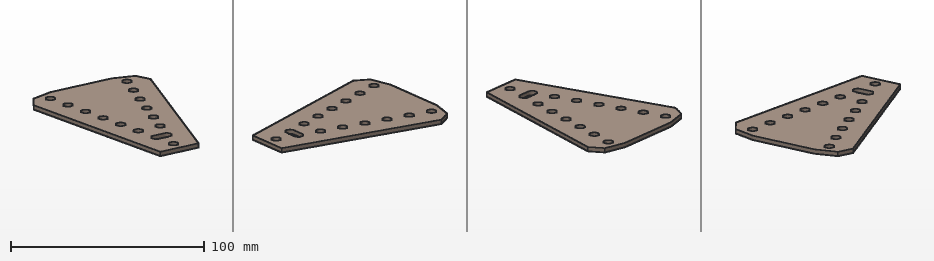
import cadquery as cq
import math

thickness = 2.5
pitch = 12.7
hole_diameter = 5.0
row_angle = 30.0
holes_per_row = 6
end_margin = 6.096
side_margin = pitch
half_flat = pitch / 2
corner_cut = side_margin - half_flat

half_angle = math.radians(row_angle / 2)
row_length = (holes_per_row + 1) * pitch
wide_end_x = -row_length - end_margin


def mirrored(point):
    """Reflect a point in the symmetry axis of the plate."""
    x, y = point
    cos_double = math.cos(2 * half_angle)
    sin_double = math.sin(2 * half_angle)
    return (x * cos_double - y * sin_double, -x * sin_double - y * cos_double)


def make_plate():
    """Flat plate, symmetric about the line midway between the two rows."""
    narrow_corner_x = (end_margin - side_margin * math.sin(half_angle)) / math.cos(half_angle)
    lower_half = [
        (narrow_corner_x, -side_margin),
        (wide_end_x + corner_cut, -side_margin),
        (wide_end_x, -half_flat),
        (wide_end_x, half_flat),
    ]
    upper_half = [mirrored(point) for point in reversed(lower_half)]
    return cq.Workplane("XY").polyline(lower_half + upper_half).close().extrude(thickness)


def make_holes():
    """Round holes: the shared one and the separate ones of both rows."""
    row = [(index * pitch - row_length, 0) for index in range(holes_per_row)]
    centers = [(0, 0)] + row + [mirrored(point) for point in row]
    return cq.Workplane("XY").pushPoints(centers).circle(hole_diameter / 2).extrude(thickness)


def make_slot():
    """Slot joining the hole positions next to the shared hole in both rows."""
    center_distance = pitch * math.cos(half_angle)
    center = (-center_distance * math.cos(half_angle), center_distance * math.sin(half_angle))
    slot_length = 2 * pitch * math.sin(half_angle) + hole_diameter
    slot_direction = 90 - row_angle / 2
    return (
        cq.Workplane("XY")
        .pushPoints([center])
        .slot2D(slot_length, hole_diameter, slot_direction)
        .extrude(thickness)
    )


result = make_plate().cut(make_holes()).cut(make_slot())